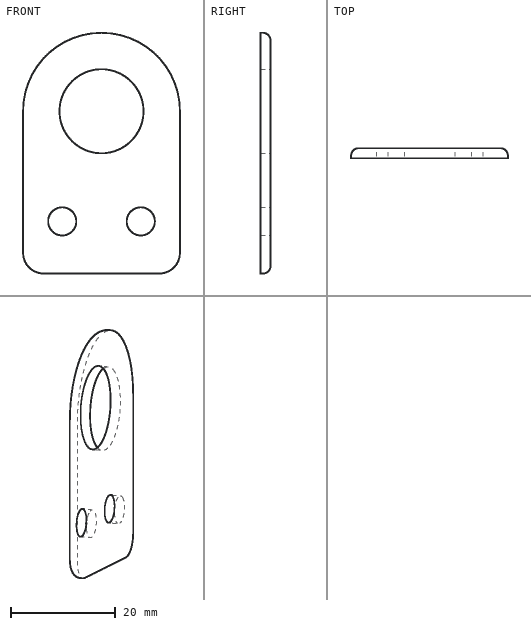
import cadquery as cq

height = 46.0
width = 30.0
thickness = 2.0
bottom_corner_radius = 4.0
back_edge_radius = 1.5

eye_diameter = 16.0
mount_diameter = 5.35
mount_spacing = width / 2
mount_height = 10.0

top_radius = width / 2
eye_height = height - top_radius


def plate():
    """Round-topped plate with rounded bottom corners and a softened back rim."""
    outline = (
        cq.Workplane("XZ")
        .moveTo(-width / 2, 0)
        .lineTo(width / 2, 0)
        .lineTo(width / 2, eye_height)
        .threePointArc((0, height), (-width / 2, eye_height))
        .close()
    )
    body = outline.extrude(-thickness)
    body = body.faces("<Z").edges("|Y").fillet(bottom_corner_radius)
    return body.faces(">Y").edges().fillet(back_edge_radius)


def through_holes(centers, diameter):
    """Cylinders along Y that span the plate thickness."""
    return cq.Workplane("XZ").pushPoints(centers).circle(diameter / 2).extrude(-thickness)


mount_centers = [(side * mount_spacing / 2, mount_height) for side in (-1, 1)]

result = (
    plate()
    .cut(through_holes([(0, eye_height)], eye_diameter))
    .cut(through_holes(mount_centers, mount_diameter))
)